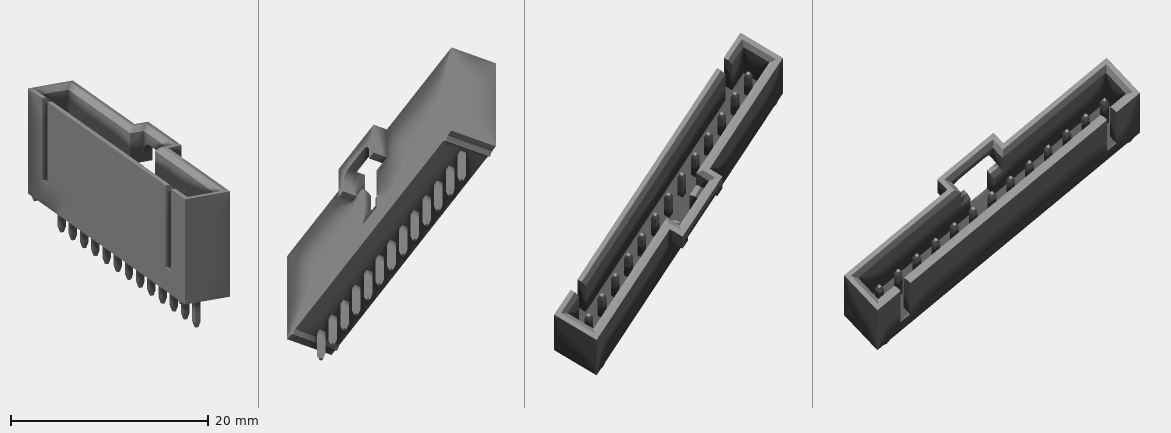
import cadquery as cq


PIN_COUNT = 13
HOUSING_LENGTH = 35.55
PITCH = HOUSING_LENGTH / (PIN_COUNT + 1)
PIN_WIDTH = 0.65
PIN_TIP_WIDTH = 0.32
PIN_TIP_LENGTH = 0.65
PIN_BELOW = 3.7
PIN_TOP_BELOW_RIM = 2.55

HOUSING_DEPTH = 5.1
HOUSING_HEIGHT = 11.4
RIM = 0.5
LEAD_IN = 0.5
WALL = RIM + LEAD_IN
FLOOR_Z = 2.52

LATCH_WIDTH = 7.6
LATCH_DEPTH = 1.53
LATCH_HEIGHT = 3.85
LATCH_BAR_HEIGHT = 1.65
LATCH_WINDOW_RADIUS = 1.25
LATCH_OPENING = LATCH_WIDTH - 2 * WALL
LATCH_BOTTOM_Z = HOUSING_HEIGHT - LATCH_HEIGHT
BACK_Y = HOUSING_DEPTH + LATCH_DEPTH
BACK_GAP_WIDTH = 3.13

SLOT_WIDTH = 1.28
SLOT_X = 13.98
RIDGE_X = 16.5
RIDGE_HEIGHT = 0.4
RIDGE_HALF_WIDTH = 0.45


def block(width, y_min, y_max, z_min, z_max, x=0.0):
    """Box centred on x, spanning the given Y and Z ranges."""
    size = (width, y_max - y_min, z_max - z_min)
    return cq.Workplane("XY").box(*size, centered=(True, False, False)).translate((x, y_min, z_min))


def flared_opening(width, y_min, y_max, z_min, z_top):
    """Rectangular opening that widens at 45 degrees just below z_top."""
    opening = block(width, y_min, y_max, z_min, z_top)
    flare = (
        cq.Workplane("XY", origin=(0, (y_min + y_max) / 2, z_top - LEAD_IN))
        .rect(width, y_max - y_min)
        .workplane(offset=LEAD_IN)
        .rect(width + 2 * LEAD_IN, y_max - y_min + 2 * LEAD_IN)
        .loft(ruled=True)
    )
    return opening.union(flare)


def make_housing():
    body = block(HOUSING_LENGTH, 0, HOUSING_DEPTH, 0, HOUSING_HEIGHT)
    latch = block(LATCH_WIDTH, HOUSING_DEPTH - WALL, BACK_Y, LATCH_BOTTOM_Z, HOUSING_HEIGHT)
    cavity_length = HOUSING_LENGTH - 2 * WALL
    cavity_back = HOUSING_DEPTH - WALL
    cavity = flared_opening(cavity_length, WALL, cavity_back, FLOOR_Z, HOUSING_HEIGHT)
    latch_opening = flared_opening(LATCH_OPENING, WALL, BACK_Y - WALL, LATCH_BOTTOM_Z, HOUSING_HEIGHT)
    ledge_lead_in = flared_opening(LATCH_OPENING, WALL, cavity_back, FLOOR_Z, LATCH_BOTTOM_Z)
    ledge_lead_in = ledge_lead_in.intersect(block(LATCH_OPENING, 0, BACK_Y, 0, HOUSING_HEIGHT))
    bar_bottom = HOUSING_HEIGHT - LATCH_BAR_HEIGHT
    window = block(LATCH_OPENING, BACK_Y - WALL, BACK_Y, LATCH_BOTTOM_Z, bar_bottom)
    window = window.faces(">Z").edges("|Y").fillet(LATCH_WINDOW_RADIUS)
    back_gap = block(BACK_GAP_WIDTH, cavity_back - LEAD_IN, HOUSING_DEPTH, FLOOR_Z, LATCH_BOTTOM_Z)
    housing = body.union(latch)
    for cut in (cavity, latch_opening, ledge_lead_in, window, back_gap):
        housing = housing.cut(cut)
    return housing


def make_slot(x):
    """Slot through the front wall, open at the rim and level with the floor."""
    return block(SLOT_WIDTH, 0, WALL, FLOOR_Z, HOUSING_HEIGHT, x)


def make_ridge(x):
    """V-shaped standoff ridge across the underside."""
    return (
        cq.Workplane("XZ")
        .polyline([(x - RIDGE_HALF_WIDTH, 0), (x + RIDGE_HALF_WIDTH, 0), (x, -RIDGE_HEIGHT)])
        .close()
        .extrude(-HOUSING_DEPTH)
    )


def make_pin(x):
    """Square pin with a tapered tip at both ends."""
    z_top = HOUSING_HEIGHT - PIN_TOP_BELOW_RIM
    inset = (PIN_WIDTH - PIN_TIP_WIDTH) / 2
    y = HOUSING_DEPTH / 2
    pin = block(PIN_WIDTH, y - PIN_WIDTH / 2, y + PIN_WIDTH / 2, -PIN_BELOW, z_top, x)
    return pin.faces("<Z or >Z").chamfer(PIN_TIP_LENGTH, inset)


result = make_housing()
for side in (-1, 1):
    result = result.cut(make_slot(side * SLOT_X))
    result = result.union(make_ridge(side * RIDGE_X))
for index in range(PIN_COUNT):
    result = result.union(make_pin((index - (PIN_COUNT - 1) / 2) * PITCH))